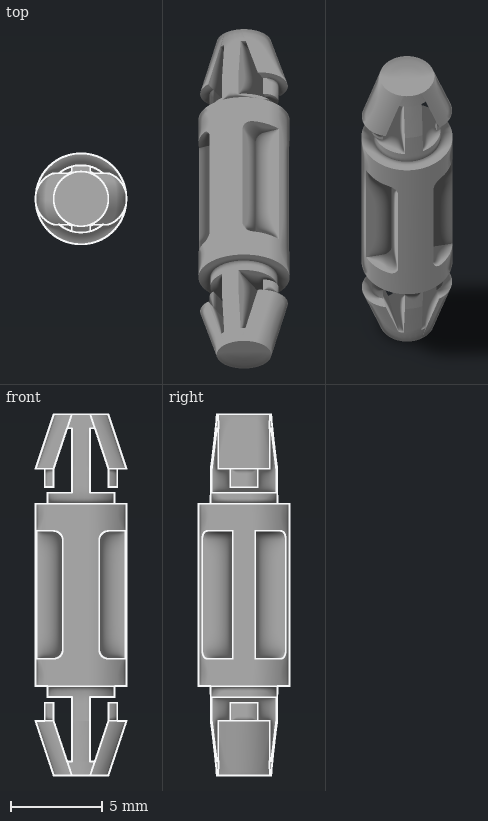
import cadquery as cq

body_diameter = 5.0
body_length = 10.0
total_length = 19.8

collar_diameter = 3.7
collar_height = 0.6

pocket_length = 7.0
pocket_corner_radius = 0.5
core_width_x = 2.0
core_width_y = 1.25

tip_diameter = 3.0
barb_height = 3.0
barb_thickness = 1.0
post_width = 1.0
post_shoulder_diameter = 3.66
post_top_diameter = 3.13
bridge_height = 0.78

pad_height = 1.0
pad_thickness = 0.5
pad_width = 1.5

body_radius = body_diameter / 2
collar_radius = collar_diameter / 2
tip_radius = tip_diameter / 2
post_shoulder_radius = post_shoulder_diameter / 2
post_top_radius = post_top_diameter / 2
body_top = body_length / 2
collar_top = body_top + collar_height
tip_z = total_length / 2
barb_base_z = tip_z - barb_height
bridge_base_z = tip_z - bridge_height
barb_shift = body_radius - tip_radius
barb_inner_x = tip_radius - barb_thickness


def make_body():
    """Cylinder with four pockets, open to the outside, cut along Y."""
    body = cq.Workplane("XY").circle(body_radius).extrude(body_length).translate((0, 0, -body_top))
    pocket = (
        cq.Workplane("XY")
        .box(body_radius, body_radius, pocket_length, centered=(False, False, True))
        .edges("|Y and <X")
        .fillet(pocket_corner_radius)
        .translate((core_width_x / 2, core_width_y / 2, 0))
    )
    pocket_pair = pocket.union(pocket.mirror("YZ"))
    return body.cut(pocket_pair).cut(pocket_pair.mirror("XZ"))


def make_post():
    """Collar, post and bridge: a tapering revolved shape trimmed to a T-shaped outline."""
    envelope = (
        cq.Workplane("XZ")
        .moveTo(0, body_top)
        .lineTo(collar_radius, body_top)
        .lineTo(post_shoulder_radius, barb_base_z)
        .lineTo(post_top_radius, bridge_base_z)
        .lineTo(tip_radius, tip_z)
        .lineTo(0, tip_z)
        .close()
        .revolve(360, (0, 0, 0), (0, 1, 0))
    )
    bridge_half_width = barb_inner_x + barb_shift * bridge_height / barb_height
    outline = (
        cq.Workplane("XZ")
        .moveTo(collar_radius, body_top)
        .lineTo(collar_radius, collar_top)
        .lineTo(post_width / 2, collar_top)
        .lineTo(post_width / 2, bridge_base_z)
        .lineTo(bridge_half_width, bridge_base_z)
        .lineTo(barb_inner_x, tip_z)
        .lineTo(0, tip_z)
        .lineTo(0, body_top)
        .close()
        .extrude(collar_radius, both=True)
    )
    return envelope.intersect(outline.union(outline.mirror("YZ")))


def circular_segment(chord_x, half_chord, crown_x, z):
    """Wire of a segment with a straight chord along Y and an arc bulging in +X."""
    return (
        cq.Workplane("XY", origin=(0, 0, z))
        .moveTo(chord_x, -half_chord)
        .threePointArc((crown_x, 0), (chord_x, half_chord))
        .close()
    )


def make_barb():
    """Segment of the tip disc swept obliquely down and out, with its stop pad."""
    half_chord = (tip_radius**2 - barb_inner_x**2) ** 0.5
    slant = cq.Workplane("XZ").moveTo(tip_radius, tip_z).lineTo(body_radius, barb_base_z)
    barb = circular_segment(barb_inner_x, half_chord, tip_radius, tip_z).sweep(slant)
    pad_inner_x = body_radius - barb_thickness
    pad_crown_x = pad_inner_x + pad_thickness
    pad = circular_segment(pad_inner_x, pad_width / 2, pad_crown_x, barb_base_z).extrude(-pad_height)
    return barb.union(pad)


def make_head():
    """Upper snap head, from the body's top face to the tip."""
    barb = make_barb()
    return make_post().union(barb).union(barb.mirror("YZ"))


head = make_head()
result = make_body().union(head).union(head.mirror("XY"))